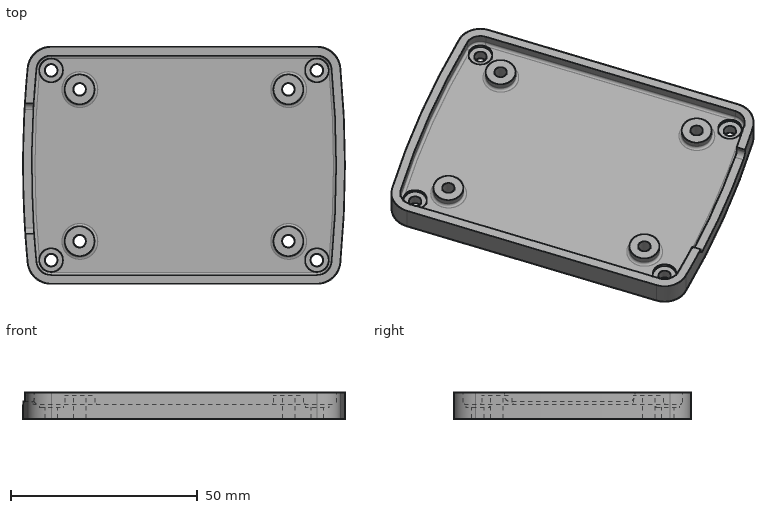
import cadquery as cq
import math

length = 86.24
width = 63.5
height = 7.14
floor_thickness = 3.97
wall = 2.38
corner_radius = 6.35
floor_fillet = 0.79

corner_x = 35.56
corner_y = width / 2 - corner_radius
hole_diameter = 3.3
counterbore_diameter = 6.35
counterbore_depth = 0.8

boss_x = 27.94
boss_y = 20.32
boss_diameter = 8.0
boss_height = 2.38
boss_fillet = 0.79

notch_y_min = -18.3
notch_y_max = 16.6
notch_depth = 2.38
notch_fillet = 1.59


def four_corners(x, y):
    """Points mirrored about both centre planes."""
    return [(sx * x, sy * y) for sx in (-1, 1) for sy in (-1, 1)]


def tray_outline(inset):
    """Straight long sides, bowed ends and tangent round corners, moved inwards by inset."""
    end_x = length / 2 - inset
    side_y = width / 2 - inset
    radius = corner_radius - inset

    bulge = length / 2 - corner_radius - corner_x
    centre_reach = (corner_y**2 + bulge**2) / (2 * bulge)
    tilt = math.asin(corner_y / centre_reach)

    def on_corner(angle):
        return corner_x + radius * math.cos(angle), corner_y + radius * math.sin(angle)

    tangent_x, tangent_y = on_corner(tilt)
    middle_x, middle_y = on_corner((tilt + math.pi / 2) / 2)
    return (
        cq.Workplane("XY")
        .moveTo(-corner_x, -side_y)
        .lineTo(corner_x, -side_y)
        .threePointArc((middle_x, -middle_y), (tangent_x, -tangent_y))
        .threePointArc((end_x, 0), (tangent_x, tangent_y))
        .threePointArc((middle_x, middle_y), (corner_x, side_y))
        .lineTo(-corner_x, side_y)
        .threePointArc((-middle_x, middle_y), (-tangent_x, tangent_y))
        .threePointArc((-end_x, 0), (-tangent_x, -tangent_y))
        .threePointArc((-middle_x, -middle_y), (-corner_x, -side_y))
        .close()
    )


def make_tray():
    """Solid block with a cavity whose floor edge is rounded."""
    cavity_depth = height - floor_thickness
    cavity = tray_outline(wall).extrude(cavity_depth).faces("<Z").edges().fillet(floor_fillet)
    return tray_outline(0).extrude(height).cut(cavity.translate((0, 0, floor_thickness)))


def make_boss():
    """Round standoff with a flared foot, standing on the cavity floor at the origin."""
    radius = boss_diameter / 2
    foot_radius = radius + boss_fillet
    arc_offset = boss_fillet * (1 - math.sqrt(0.5))
    return (
        cq.Workplane("XZ")
        .lineTo(foot_radius, 0)
        .threePointArc((radius + arc_offset, arc_offset), (radius, boss_fillet))
        .lineTo(radius, boss_height)
        .lineTo(0, boss_height)
        .close()
        .revolve(360, (0, 0, 0), (0, 1, 0))
    )


def add_bosses(body):
    boss = make_boss()
    for x, y in four_corners(boss_x, boss_y):
        body = body.union(boss.translate((x, y, floor_thickness)))
    return body


def cut_holes(body):
    """Through holes in the bosses and counterbored through holes in the corners."""
    hole_points = four_corners(boss_x, boss_y) + four_corners(corner_x, corner_y)
    holes = cq.Workplane("XY").pushPoints(hole_points).circle(hole_diameter / 2).extrude(height)
    counterbores = (
        cq.Workplane("XY", origin=(0, 0, floor_thickness - counterbore_depth))
        .pushPoints(four_corners(corner_x, corner_y))
        .circle(counterbore_diameter / 2)
        .extrude(counterbore_depth + floor_fillet)
    )
    return body.cut(holes).cut(counterbores)


def cut_notch(body):
    """Lower the rim between the two notch ends, with rounded lower corners."""
    reach = 2 * wall
    notch = (
        cq.Workplane("XY")
        .box(reach, notch_y_max - notch_y_min, notch_depth, centered=False)
        .edges("|X and <Z")
        .fillet(notch_fillet)
        .translate((-length / 2, notch_y_min, height - notch_depth))
    )
    return body.cut(notch)


result = cut_notch(cut_holes(add_bosses(make_tray())))